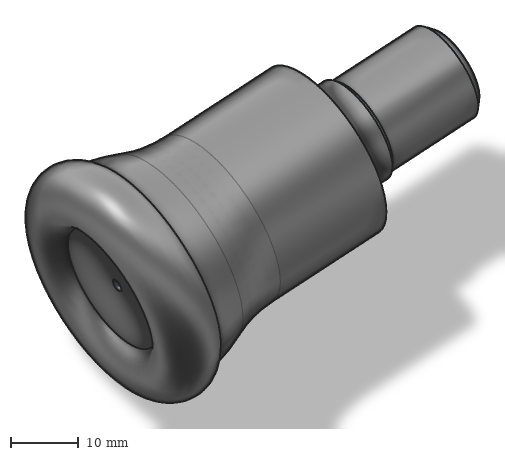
import cadquery as cq
import math

length = 67.0
front_y = -length / 2
back_y = length / 2

pin_radius = 8.0
pin_chamfer = 1.35
collar_radius = 8.6
collar_chamfer = collar_radius - pin_radius
collar_length = 6.4

body_radius = 14.5
body_back_y = 9.65
body_length = 20.1
body_front_y = body_back_y - body_length
flare_radius = 16.2
flare_y = -18.9

rim_diameter = 40.0
rim_round = 5.0
rim_center_radius = rim_diameter / 2 - rim_round
rim_center_y = front_y + rim_round
neck_end_y = -24.4

dish_radius = 10.4
dish_depth = 1.0
dimple_radius = 1.0

neck_end_radius = rim_center_radius + math.sqrt(rim_round**2 - (neck_end_y - rim_center_y) ** 2)
dish_edge_y = rim_center_y - math.sqrt(rim_round**2 - (rim_center_radius - dish_radius) ** 2)
dish_center_y = dish_edge_y + dish_depth

collar_back_y = body_back_y + collar_length
profile = (
    cq.Workplane("XY")
    .moveTo(0, back_y)
    .lineTo(pin_radius - pin_chamfer, back_y)
    .lineTo(pin_radius, back_y - pin_chamfer)
    .lineTo(pin_radius, collar_back_y)
    .lineTo(collar_radius, collar_back_y - collar_chamfer)
    .lineTo(collar_radius, body_back_y)
    .lineTo(body_radius, body_back_y)
    .lineTo(body_radius, body_front_y)
    .tangentArcPoint((flare_radius, flare_y), relative=False)
    .tangentArcPoint((neck_end_radius, neck_end_y), relative=False)
    .threePointArc((rim_center_radius, front_y), (dish_radius, dish_edge_y))
    .lineTo(0, dish_center_y)
    .close()
)
knob = profile.revolve(360, (0, 0, 0), (0, 1, 0))

dimple = cq.Workplane("XY", origin=(0, dish_center_y, 0)).sphere(dimple_radius)

result = knob.cut(dimple)